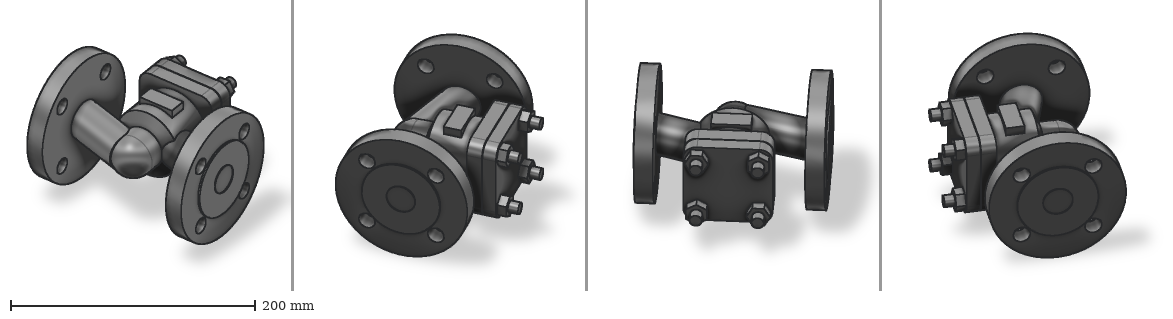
import cadquery as cq
import math


LENGTH = 160.0
FLANGE_DIAMETER = 115.0
FLANGE_THICKNESS = 15.7
RAISED_FACE_DIAMETER = 68.0
RAISED_FACE_HEIGHT = 1.8
PORT_DIAMETER = 25.0
PORT_DEPTH = 0.8
FLANGE_BOLT_CIRCLE = 85.0
FLANGE_HOLE_DIAMETER = 14.0
FLANGE_HOLE_COUNT = 4
FLANGE_HOLE_START_ANGLE = 45

PIPE_DIAMETER = 34.0
INLET_SLOPE = 16.7
OUTLET_SLOPE = 18.4
INLET_REACH = 57.6
OUTLET_REACH = 48.0
PIPE_EMBED = 6.4

BODY_DIAMETER = 62.2
NECK_DIAMETER = 38.0
DOME_CENTER_Y = -17.0
NECK_TOP_Y = -2.5
SHOULDER_Y = 2.9
BODY_TOP_Y = 42.0

PLATE_WIDTH = 73.5
PLATE_CORNER_RADIUS = 11.0
BODY_PLATE_THICKNESS = 13.1
GASKET_DIAMETER = 61.1
GASKET_THICKNESS = 0.56
COVER_THICKNESS = 11.7

STUD_OFFSET = 25.5
STUD_DIAMETER = 10.0
STUD_PROJECTION = 8.8
NUT_WIDTH_ACROSS_FLATS = 17.0
NUT_HEIGHT = 8.2

NAME_PLATE_LENGTH = 33.0
NAME_PLATE_WIDTH = 15.5
NAME_PLATE_CENTER_Y = 22.0
NAME_PLATE_TOP_Z = 33.8

flange_back_x = LENGTH / 2 - RAISED_FACE_HEIGHT - FLANGE_THICKNESS
gasket_y = BODY_TOP_Y + BODY_PLATE_THICKNESS
cover_y = gasket_y + GASKET_THICKNESS
cover_top_y = cover_y + COVER_THICKNESS


def plane_at_y(y, x=0, z=0):
    """Work plane facing +Y, with its local X along the part's X."""
    return cq.Workplane(cq.Plane(origin=(x, y, z), xDir=(1, 0, 0), normal=(0, 1, 0)))


def end_flange(side):
    """Flange at the outlet (side = 1) or the inlet (side = -1)."""
    flange = (
        cq.Workplane("YZ")
        .workplane(offset=flange_back_x)
        .circle(FLANGE_DIAMETER / 2)
        .extrude(FLANGE_THICKNESS)
        .faces(">X")
        .workplane()
        .polarArray(FLANGE_BOLT_CIRCLE / 2, FLANGE_HOLE_START_ANGLE, 360, FLANGE_HOLE_COUNT)
        .hole(FLANGE_HOLE_DIAMETER)
        .faces(">X")
        .workplane()
        .circle(RAISED_FACE_DIAMETER / 2)
        .extrude(RAISED_FACE_HEIGHT)
        .faces(">X")
        .workplane()
        .circle(PORT_DIAMETER / 2)
        .cutBlind(-PORT_DEPTH)
    )
    return flange if side > 0 else flange.mirror("YZ")


def slanted_pipe(side, slope, reach):
    """Pipe from the centre of a flange's back face into the body."""
    slope_angle = math.radians(slope)
    direction = cq.Vector(-side * math.cos(slope_angle), side * math.sin(slope_angle), 0)
    start = cq.Vector(side * flange_back_x, 0, 0) - direction * PIPE_EMBED
    return cq.Workplane(cq.Solid.makeCylinder(PIPE_DIAMETER / 2, PIPE_EMBED + reach, start, direction))


def turned_body():
    """Chamber, conical shoulder, neck and domed end."""
    neck_radius = NECK_DIAMETER / 2
    dome_mid = neck_radius * math.sqrt(0.5)
    return (
        cq.Workplane("XY")
        .moveTo(0, BODY_TOP_Y)
        .lineTo(BODY_DIAMETER / 2, BODY_TOP_Y)
        .lineTo(BODY_DIAMETER / 2, SHOULDER_Y)
        .lineTo(neck_radius, NECK_TOP_Y)
        .lineTo(neck_radius, DOME_CENTER_Y)
        .threePointArc((dome_mid, DOME_CENTER_Y - dome_mid), (0, DOME_CENTER_Y - neck_radius))
        .close()
        .revolve(360, (0, 0, 0), (0, 1, 0))
    )


def bonnet_plate(base_y, thickness):
    """Square plate with rounded corners."""
    return (
        plane_at_y(base_y)
        .rect(PLATE_WIDTH, PLATE_WIDTH)
        .extrude(thickness)
        .edges("|Y")
        .fillet(PLATE_CORNER_RADIUS)
    )


def gasket():
    return plane_at_y(gasket_y).circle(GASKET_DIAMETER / 2).extrude(GASKET_THICKNESS)


def stud_with_nut():
    """Stud and nut at the +X, +Z corner, with two nut corners pointing along X."""
    nut_corner_diameter = NUT_WIDTH_ACROSS_FLATS / math.cos(math.pi / 6)
    base = plane_at_y(cover_top_y, STUD_OFFSET, STUD_OFFSET)
    nut = base.polygon(6, nut_corner_diameter).extrude(NUT_HEIGHT)
    stud = base.circle(STUD_DIAMETER / 2).extrude(NUT_HEIGHT + STUD_PROJECTION)
    return nut.union(stud)


def name_plate():
    """Rectangular pad on the +Z side of the body."""
    return (
        cq.Workplane("XY")
        .center(0, NAME_PLATE_CENTER_Y)
        .rect(NAME_PLATE_LENGTH, NAME_PLATE_WIDTH)
        .extrude(NAME_PLATE_TOP_Z)
    )


result = turned_body()
result = result.union(slanted_pipe(-1, INLET_SLOPE, INLET_REACH))
result = result.union(slanted_pipe(1, OUTLET_SLOPE, OUTLET_REACH))
for side in (-1, 1):
    result = result.union(end_flange(side))
result = result.union(name_plate())
result = result.union(bonnet_plate(BODY_TOP_Y, BODY_PLATE_THICKNESS))
result = result.union(gasket())
result = result.union(bonnet_plate(cover_y, COVER_THICKNESS))
for turn in (0, 90, 180, 270):
    result = result.union(stud_with_nut().rotate((0, 0, 0), (0, 1, 0), turn))